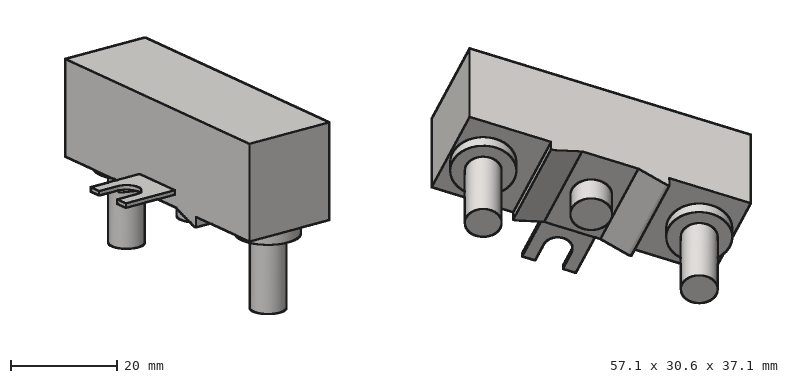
import cadquery as cq

body_length = 57.15
body_width = 19.0
body_height = 19.65

pin_spacing = 43.9
pin_diameter = 7.0
pin_length = 17.45
flange_diameter = 12.45
flange_height = 2.45

post_diameter = 7.9
post_length = 5.45

foot_outer_x = 12.0
foot_inner_x = 5.7
foot_flat = 0.6
foot_height = 2.1
foot_corner_radius = 1.15

tab_width = 10.9
tab_reach = 11.6
tab_thickness = 0.9
tab_bottom_z = 2.5
slot_width = 5.6
slot_depth = 7.15


def cylinder_below(x, diameter, length):
    """Cylinder hanging down from the housing underside."""
    return cq.Workplane("XY").center(x, 0).circle(diameter / 2).extrude(-length)


def make_foot():
    """Right-hand foot: upright outer side, short flat, then a ramp inward."""
    return (
        cq.Workplane("XZ")
        .moveTo(foot_inner_x, 0)
        .lineTo(foot_outer_x, 0)
        .lineTo(foot_outer_x, -foot_height)
        .lineTo(foot_outer_x - foot_flat, -foot_height)
        .close()
        .extrude(body_width / 2, both=True)
        .edges(cq.selectors.NearestToPointSelector((foot_outer_x - foot_flat, 0, -foot_height)))
        .fillet(foot_corner_radius)
    )


def make_tab():
    """Flat tab with a round-ended slot open at its free end."""
    body_face_y = -body_width / 2
    tab_end_y = body_face_y - tab_reach
    slot_radius = slot_width / 2
    slot_centre_y = tab_end_y + slot_depth - slot_radius
    return (
        cq.Workplane("XY", origin=(0, 0, tab_bottom_z))
        .moveTo(-tab_width / 2, body_face_y)
        .lineTo(-tab_width / 2, tab_end_y)
        .lineTo(-slot_radius, tab_end_y)
        .lineTo(-slot_radius, slot_centre_y)
        .threePointArc((0, slot_centre_y + slot_radius), (slot_radius, slot_centre_y))
        .lineTo(slot_radius, tab_end_y)
        .lineTo(tab_width / 2, tab_end_y)
        .lineTo(tab_width / 2, body_face_y)
        .close()
        .extrude(tab_thickness)
    )


result = cq.Workplane("XY").box(body_length, body_width, body_height, centered=(True, True, False))

for pin_x in (-pin_spacing / 2, pin_spacing / 2):
    result = result.union(cylinder_below(pin_x, flange_diameter, flange_height))
    result = result.union(cylinder_below(pin_x, pin_diameter, pin_length))

result = result.union(cylinder_below(0, post_diameter, post_length))

foot = make_foot()
result = result.union(foot).union(foot.mirror("YZ"))

result = result.union(make_tab())